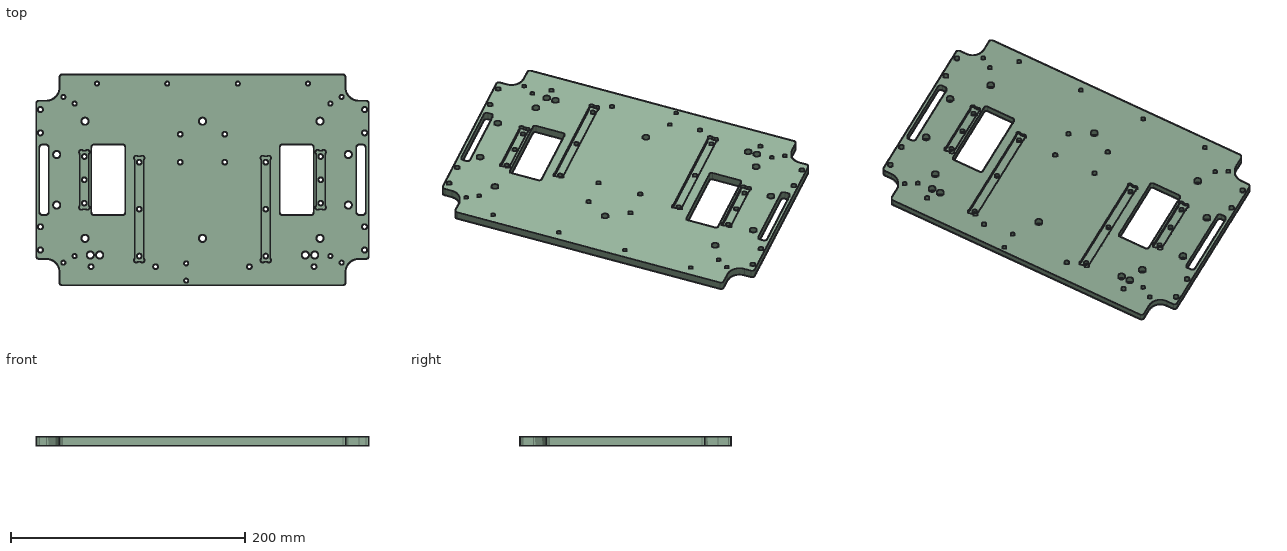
import cadquery as cq
import math

plate_length = 284
plate_width = 180.0
plate_thickness = 8.0
half_length = plate_length / 2
half_width = plate_width / 2
outer_corner_radius = 2.5

notch_length = 20.0
notch_width = 22.5
notch_fillet_radius = 11.0

opening_length = 60.0
handle_slot_width = 8.0
handle_slot_x = 135.2
handle_slot_corner_radius = 2.5
window_width = 28.7
window_x = 80.5
window_corner_radius = 2.0

groove_width = 8.0
groove_depth = 3.0
corner_relief_radius = 2.0
short_groove_x = 100.8
short_groove_length = 50.0
short_groove_hole_pitch = 20.0
long_groove_x = 54.0
long_groove_y = -25.0
long_groove_length = 90.0
long_groove_hole_pitch = 40.0

small_hole_diameter = 3.5
medium_hole_diameter = 4.0
edge_hole_diameter = 4.3
large_hole_diameter = 6.0

mounting_hole_x = 100.3
mounting_hole_y = 50.0
handle_hole_x = 124.5
handle_hole_y = 21.5
paired_hole_xs = (87.8, 95.7)
paired_hole_y = -64.2

edge_hole_x = 138.3
edge_hole_ys = (40.0, 60.0)
notch_outer_hole = (118.7, 70.7)
notch_inner_hole = (109.0, 65.0)
rear_row_xs = (30.0, 90.0)
rear_row_y = 82.0
front_row_xs = (40.0, 95.0)
front_row_y = -74.0
centre_hole_x = 19.0
centre_hole_ys = (15.0, 39.0)
single_hole_x = -14.0
single_hole_ys = (-71.3, -86.0)


def mirrored_x(points):
    """Points together with their mirror images in the YZ plane."""
    return [(side * x, y) for x, y in points for side in (-1, 1)]


def mirrored_xy(points):
    """Points together with their mirror images in the YZ and XZ planes."""
    return mirrored_x([(x, side * y) for x, y in points for side in (-1, 1)])


def fillet_vertical_edges(body, points, radius):
    """Round the vertical edge of the body nearest to each point."""
    for x, y in points:
        nearest = cq.selectors.NearestToPointSelector((x, y, plate_thickness / 2))
        body = body.edges("|Z").edges(nearest).fillet(radius)
    return body


def notched_plate():
    """Plate with a rounded notch at each corner."""
    step_x = half_length - notch_length
    step_y = half_width - notch_width
    plate = cq.Workplane("XY").rect(plate_length, plate_width).extrude(plate_thickness)
    notches = (
        cq.Workplane("XY")
        .pushPoints(mirrored_xy([(half_length, half_width)]))
        .rect(2 * notch_length, 2 * notch_width)
        .extrude(plate_thickness)
    )
    plate = plate.cut(notches)
    plate = fillet_vertical_edges(plate, mirrored_xy([(step_x, step_y)]), notch_fillet_radius)
    outer_corners = mirrored_xy([(half_length, step_y), (step_x, half_width)])
    return fillet_vertical_edges(plate, outer_corners, outer_corner_radius)


def rounded_openings(x, width, corner_radius):
    """Left and right through openings with rounded corners."""
    return (
        cq.Workplane("XY")
        .pushPoints(mirrored_x([(x, 0)]))
        .rect(width, opening_length)
        .extrude(plate_thickness)
        .edges("|Z")
        .fillet(corner_radius)
    )


def relieved_grooves(x, y, length):
    """Left and right grooves with a round relief passing through each corner."""
    relief_inset = corner_relief_radius / math.sqrt(2)
    relief_dx = groove_width / 2 - relief_inset
    relief_dy = length / 2 - relief_inset
    floor = cq.Workplane("XY").workplane(offset=plate_thickness - groove_depth)
    centres = mirrored_x([(x, y)])
    offsets = mirrored_xy([(relief_dx, relief_dy)])
    reliefs = [(cx + dx, cy + dy) for cx, cy in centres for dx, dy in offsets]
    channel = floor.pushPoints(centres).rect(groove_width, length).extrude(groove_depth)
    relief_pockets = floor.pushPoints(reliefs).circle(corner_relief_radius).extrude(groove_depth)
    return channel.union(relief_pockets)


def through_holes(points, diameter):
    """Round holes through the full thickness."""
    return cq.Workplane("XY").pushPoints(points).circle(diameter / 2).extrude(plate_thickness)


groove_holes = []
for position in (-1, 0, 1):
    groove_holes += mirrored_x([
        (short_groove_x, position * short_groove_hole_pitch),
        (long_groove_x, long_groove_y + position * long_groove_hole_pitch),
    ])

small_holes = (
    mirrored_xy([notch_outer_hole, notch_inner_hole])
    + mirrored_x([(x, rear_row_y) for x in rear_row_xs])
    + [(single_hole_x, y) for y in single_hole_ys]
)
medium_holes = (
    groove_holes
    + mirrored_x([(x, front_row_y) for x in front_row_xs])
    + mirrored_x([(centre_hole_x, y) for y in centre_hole_ys])
)
edge_holes = mirrored_xy([(edge_hole_x, y) for y in edge_hole_ys])
large_holes = (
    mirrored_xy([(mounting_hole_x, mounting_hole_y), (handle_hole_x, handle_hole_y)])
    + [(0, -mounting_hole_y), (0, mounting_hole_y)]
    + mirrored_x([(x, paired_hole_y) for x in paired_hole_xs])
)

result = (
    notched_plate()
    .cut(rounded_openings(handle_slot_x, handle_slot_width, handle_slot_corner_radius))
    .cut(rounded_openings(window_x, window_width, window_corner_radius))
    .cut(relieved_grooves(short_groove_x, 0, short_groove_length))
    .cut(relieved_grooves(long_groove_x, long_groove_y, long_groove_length))
    .cut(through_holes(small_holes, small_hole_diameter))
    .cut(through_holes(medium_holes, medium_hole_diameter))
    .cut(through_holes(edge_holes, edge_hole_diameter))
    .cut(through_holes(large_holes, large_hole_diameter))
)